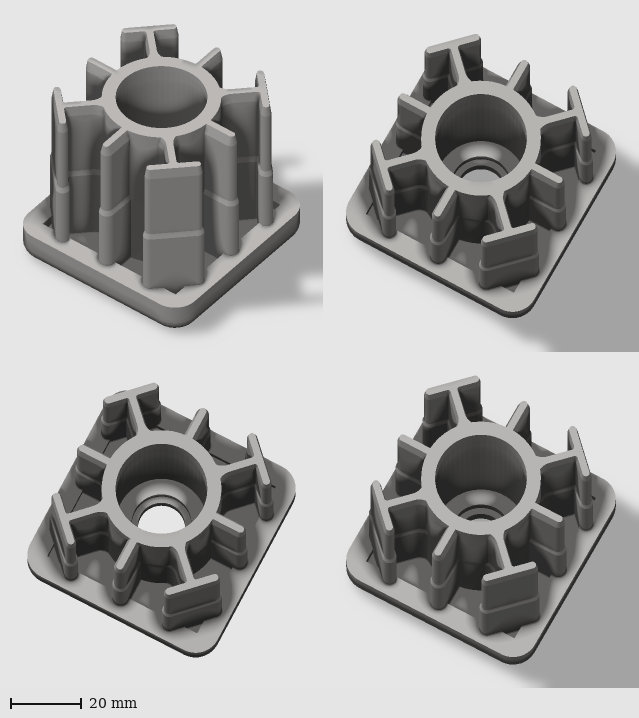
import cadquery as cq
import math

plate_side = 60.0
plate_height = 10.0
plate_corner_radius = 7.0
plate_bottom_round = 4.0
pocket_side = 48.0
pocket_depth = 3.0
pocket_floor = plate_height - pocket_depth

total_height = 55.0
tube_bottom_radius = 17.2
tube_top_radius = 17.0
bore_radius = 13.0
counterbore_radius = 8.5
counterbore_depth = 3.0
hole_radius = 6.7

shoulder_bottom = 29.15
shoulder_top = 30.85
lead_in_bottom = 51.9
step_inset = 0.5
lead_in_inset = 2 * step_inset
foot_size = 0.25

rib_reach = 27.3
rib_width = 4.7
rib_top_width = 2.0

tee_thickness = 4.0
flange_distance = 29.05
flange_end_offset = 6.8
tee_inner_corner_radius = 0.3
flare_radius = 3.85
flare_start = 19.9
flare_end = 16.4
web_root = 14.4

rib_levels = [
    (pocket_floor, 0),
    (shoulder_bottom, 0),
    (shoulder_top, step_inset),
    (lead_in_bottom, step_inset),
    (total_height, lead_in_inset),
]


def rib_outline(height, inset):
    """Round-ended bar through the axis; the lead-in thins its sides more than its ends."""
    width = rib_top_width if inset == lead_in_inset else rib_width - 2 * inset
    return cq.Workplane("XY", origin=(0, 0, height)).slot2D(2 * (rib_reach - inset), width)


def half_tee_outline(height, inset):
    """Half of a tee lying along +X: flared web, rounded inner corner and round flange end."""
    half = tee_thickness / 2 - inset
    corner = tee_inner_corner_radius + max(0, inset - step_inset)
    flare = flare_radius + inset
    flare_centre = half + flare
    flange_inner = flange_distance - half

    def flare_point(x):
        return x, flare_centre - math.sqrt(flare**2 - (flare_start - x) ** 2)

    root_half_width = flare_point(flare_end)[1]
    corner_mid = corner * (1 - math.sqrt(0.5))
    return (
        cq.Workplane("XY", origin=(0, 0, height))
        .moveTo(web_root, 0)
        .lineTo(web_root, root_half_width)
        .lineTo(flare_end, root_half_width)
        .threePointArc(flare_point((flare_start + flare_end) / 2), (flare_start, half))
        .lineTo(flange_inner - corner, half)
        .threePointArc((flange_inner - corner_mid, half + corner_mid), (flange_inner, half + corner))
        .lineTo(flange_inner, flange_end_offset)
        .threePointArc(
            (flange_distance, flange_end_offset + half),
            (flange_distance + half, flange_end_offset),
        )
        .lineTo(flange_distance + half, 0)
        .close()
    )


def loft_between(outline, lower, upper):
    """Ruled solid between the outline at two (height, inset) levels."""
    wires = [outline(*level).wires().val() for level in (lower, upper)]
    return cq.Workplane(cq.Solid.makeLoft(wires, True))


def make_stepped_rib(outline):
    """Rib standing on the pocket floor, stepped in at the shoulder and at the lead-in."""
    rib = loft_between(outline, rib_levels[0], rib_levels[1])
    for lower, upper in zip(rib_levels[1:], rib_levels[2:]):
        rib = rib.union(loft_between(outline, lower, upper))
    return rib


def make_foot(outline, height):
    """Narrow sloped skirt around the rib where it meets a floor."""
    return loft_between(outline, (height, -foot_size), (height + foot_size, 0))


def turn(body, angle):
    """Rotate a body about the vertical axis."""
    return body.rotate((0, 0, 0), (0, 0, 1), angle)


def make_rib(outline, angle):
    """Stepped rib turned about the axis, with a foot on the pocket floor and one on the rim."""
    rib = make_stepped_rib(outline).union(make_foot(outline, pocket_floor))
    rim_foot = turn(make_foot(outline, plate_height), angle).cut(pocket)
    return turn(rib, angle).union(rim_foot)


def make_plate():
    return (
        cq.Workplane("XY")
        .rect(plate_side, plate_side)
        .extrude(plate_height)
        .edges("|Z")
        .fillet(plate_corner_radius)
        .faces("<Z")
        .edges()
        .fillet(plate_bottom_round)
        .cut(pocket)
    )


def make_tube():
    return (
        cq.Workplane("XZ")
        .moveTo(0, pocket_floor)
        .lineTo(tube_bottom_radius, pocket_floor)
        .lineTo(tube_top_radius, total_height)
        .lineTo(0, total_height)
        .close()
        .revolve(360, (0, 0), (0, 1))
    )


def drill(body, radius, bottom):
    """Cut a round hole on the axis from the top down to the given height."""
    tool = cq.Workplane("XY", origin=(0, 0, bottom)).circle(radius).extrude(total_height - bottom)
    return body.cut(tool)


pocket = (
    cq.Workplane("XY", origin=(0, 0, pocket_floor))
    .rect(pocket_side, pocket_side)
    .extrude(total_height)
)

straight_rib = make_rib(rib_outline, 0)
half_tee = make_rib(half_tee_outline, 45)
tee = half_tee.union(turn(half_tee.mirror("XZ"), 90))

result = make_plate().union(make_tube())
for straight_angle in (0, 90):
    result = result.union(turn(straight_rib, straight_angle))
for corner_angle in (0, 90, 180, 270):
    result = result.union(turn(tee, corner_angle))

result = drill(result, bore_radius, pocket_floor)
result = drill(result, counterbore_radius, pocket_floor - counterbore_depth)
result = drill(result, hole_radius, 0)